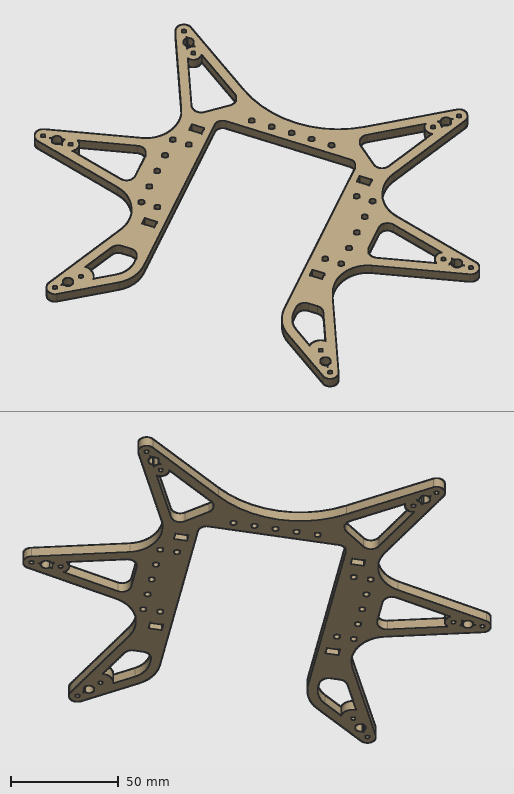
import cadquery as cq
import math

overall_width = 221.7
thickness = 5.8
tip_radius = 4.0
arm_half_angle = 15.0
diagonal_angle = 50.0
wall = 4.9

side_tip = (-(overall_width / 2 - tip_radius), 0.0)
upper_tip = (-68.7, 81.8)
lower_tip = (upper_tip[0], -upper_tip[1])

opening_half_width = 35.0
opening_top = 39.2
opening_radius = 4.0
waist_radius = 16.5
crown_radius = 52.8
foot_radius = 16.8

pocket_depth = 48.5
pocket_radius = 4.5
lower_pocket_top = -47.5
pad_radius = tip_radius
lower_pad_radius = 6.0

arm_hole_pitch = 6.9
tip_hole, middle_hole, pad_hole = 0, 1, 2
small_hole = 2.0
large_hole = 4.9
mount_hole = 2.9
mount_pitch = 10.0
mount_steps = range(-2, 3)
top_row_y = 44.0
outer_column_x = 49.9
inner_column_x = 42.0
slot_length = 6.2
slot_width = 3.5
slot_y = 3 * mount_pitch


def unit(angle):
    return (math.cos(math.radians(angle)), math.sin(math.radians(angle)))


def along(point, angle, distance):
    """Point reached by moving a distance from a point in the given direction."""
    direction = unit(angle)
    return (point[0] + distance * direction[0], point[1] + distance * direction[1])


def meet(point_a, angle_a, point_b, angle_b):
    """Intersection of two lines, each given by a point and a direction."""
    a = unit(angle_a)
    b = unit(angle_b)
    gap = (point_b[0] - point_a[0], point_b[1] - point_a[1])
    distance = (gap[0] * b[1] - gap[1] * b[0]) / (a[0] * b[1] - a[1] * b[0])
    return along(point_a, angle_a, distance)


def mirrored(point):
    return (-point[0], point[1])


def rounded_plate(corners):
    """Extrude a polygon of (point, radius) corners; radius 0 keeps a corner sharp."""
    path = None
    for index, (corner, radius) in enumerate(corners):
        before = corners[index - 1][0]
        after = corners[(index + 1) % len(corners)][0]
        angle_in = math.degrees(math.atan2(before[1] - corner[1], before[0] - corner[0]))
        angle_out = math.degrees(math.atan2(after[1] - corner[1], after[0] - corner[0]))
        half = ((angle_out - angle_in + 180) % 360 - 180) / 2
        slope = abs(math.radians(half))
        start = along(corner, angle_in, radius / math.tan(slope))
        if path is None:
            path = cq.Workplane("XY").moveTo(*start)
        else:
            path = path.lineTo(*start)
        if radius > 0:
            middle = along(corner, angle_in + half, radius / math.sin(slope) - radius)
            end = along(corner, angle_out, radius / math.tan(slope))
            path = path.threePointArc(middle, end)
    return path.close().extrude(thickness)


def cylinders(points, diameter):
    return cq.Workplane("XY").pushPoints(points).circle(diameter / 2).extrude(thickness)


def both_sides(cutter):
    return cutter.union(cutter.mirror("YZ"))


side_arm = (side_tip, 0.0)
upper_arm = (upper_tip, -diagonal_angle)
lower_arm = (lower_tip, diagonal_angle)


def edge_apex(arm, inset=0.0):
    """Point where the two edges of an arm, moved inwards by the inset, would cross."""
    tip, axis = arm
    return along(tip, axis, (inset - tip_radius) / math.sin(math.radians(arm_half_angle)))


def make_body():
    side_apex = edge_apex(side_arm)
    upper_apex = edge_apex(upper_arm)
    lower_apex = edge_apex(lower_arm)
    steep = diagonal_angle + arm_half_angle
    shallow = diagonal_angle - arm_half_angle
    crown = meet(upper_apex, -shallow, (0, 0), 90)
    upper_waist = meet(upper_apex, -steep, side_apex, arm_half_angle)
    lower_waist = (upper_waist[0], -upper_waist[1])
    foot = meet(lower_apex, shallow, (-opening_half_width, 0), 90)
    left = [
        (upper_apex, tip_radius),
        (upper_waist, waist_radius),
        (side_apex, tip_radius),
        (lower_waist, waist_radius),
        (lower_apex, tip_radius),
        (foot, foot_radius),
        ((-opening_half_width, opening_top), opening_radius),
    ]
    right = [(mirrored(point), radius) for point, radius in reversed(left)]
    return rounded_plate([(crown, crown_radius)] + left + right)


def arm_hole(arm, number):
    tip, axis = arm
    return along(tip, axis, number * arm_hole_pitch)


def triangular_pocket(arm):
    tip, axis = arm
    apex = edge_apex(arm, wall)
    base = along(tip, axis, pocket_depth)
    base_ends = [meet(apex, axis + turn, base, axis + 90) for turn in (-arm_half_angle, arm_half_angle)]
    pocket = rounded_plate([(apex, 0)] + [(end, pocket_radius) for end in base_ends])
    return pocket.cut(cylinders([arm_hole(arm, pad_hole)], 2 * pad_radius))


def lower_pocket():
    apex = edge_apex(lower_arm, wall)
    inner_edge = (-opening_half_width - wall, lower_pocket_top)
    outer_top = meet(apex, diagonal_angle + arm_half_angle, inner_edge, 0)
    foot = meet(apex, diagonal_angle - arm_half_angle, inner_edge, 90)
    pocket = rounded_plate([
        (apex, 0),
        (foot, foot_radius - wall),
        (inner_edge, pocket_radius),
        (outer_top, pocket_radius),
    ])
    return pocket.cut(cylinders([arm_hole(lower_arm, pad_hole)], 2 * lower_pad_radius))


def arm_holes(arm):
    outer_holes = cylinders([arm_hole(arm, tip_hole), arm_hole(arm, pad_hole)], small_hole)
    return outer_holes.union(cylinders([arm_hole(arm, middle_hole)], large_hole))


def top_row():
    return cylinders([(step * mount_pitch, top_row_y) for step in mount_steps], mount_hole)


def side_columns():
    outer = [(-outer_column_x, step * mount_pitch) for step in mount_steps]
    inner = [(-inner_column_x, step * mount_pitch) for step in (mount_steps[0], mount_steps[-1])]
    return cylinders(outer + inner, mount_hole)


def slots():
    centres = [(-inner_column_x, side * slot_y) for side in (-1, 1)]
    return cq.Workplane("XY").pushPoints(centres).rect(slot_length, slot_width).extrude(thickness)


result = make_body()
for pocketed_arm in (side_arm, upper_arm):
    result = result.cut(both_sides(triangular_pocket(pocketed_arm)))
result = result.cut(both_sides(lower_pocket()))
for drilled_arm in (side_arm, upper_arm, lower_arm):
    result = result.cut(both_sides(arm_holes(drilled_arm)))
result = result.cut(top_row())
result = result.cut(both_sides(side_columns()))
result = result.cut(both_sides(slots()))